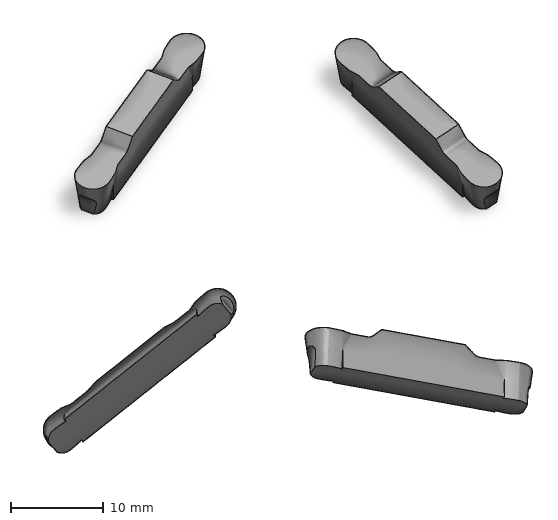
import cadquery as cq
import math

length = 25.8
height = 5.78
shank_width = 3.22
shank_length = 18.47
land_height = 4.52
ridge_length = 9.55
ridge_fillet = 1.0

head_width = 4.0
head_clearance = 7.0
flank_end_y = 9.3
flank_radius = 15.48
neck_y = 8.23
root_y = 7.48

relief_y = 12.15
relief_flat_height = 1.63
relief_top = 2.8

head_radius = head_width / 2
head_center_y = length / 2 - head_radius


def make_shank():
    body = cq.Workplane("XY").box(shank_width, shank_length, land_height, centered=(True, True, False))
    top_y = ridge_length / 2
    foot_y = top_y + height - land_height
    tangent = ridge_fillet * math.tan(math.radians(22.5))
    leg = tangent * math.sqrt(0.5)
    middle_y = foot_y + tangent - ridge_fillet * math.sin(math.radians(22.5))
    middle_z = land_height + ridge_fillet * (1 - math.cos(math.radians(22.5)))
    ridge = (
        cq.Workplane("YZ")
        .moveTo(-foot_y - tangent, land_height)
        .threePointArc((-middle_y, middle_z), (-foot_y + leg, land_height + leg))
        .lineTo(-top_y, height)
        .lineTo(top_y, height)
        .lineTo(foot_y - leg, land_height + leg)
        .threePointArc((middle_y, middle_z), (foot_y + tangent, land_height))
        .close()
        .extrude(shank_width / 2, both=True)
    )
    return body.union(ridge)


def flank_half_width(y):
    """Half width of the large-radius flank arc, tangent to the nose circle."""
    return head_radius - flank_radius + math.sqrt(flank_radius**2 - (head_center_y - y) ** 2)


def make_head():
    flank_x = flank_half_width(flank_end_y)
    flank_mid_y = (head_center_y + flank_end_y) / 2
    flank_mid_x = flank_half_width(flank_mid_y)
    neck_slope = (flank_x - shank_width / 2) / (flank_end_y - neck_y)
    root_x = flank_x - neck_slope * (flank_end_y - root_y)
    head = (
        cq.Workplane("XY", origin=(0, 0, land_height))
        .moveTo(root_x, root_y)
        .lineTo(flank_x, flank_end_y)
        .threePointArc((flank_mid_x, flank_mid_y), (head_radius, head_center_y))
        .threePointArc((0, length / 2), (-head_radius, head_center_y))
        .threePointArc((-flank_mid_x, flank_mid_y), (-flank_x, flank_end_y))
        .lineTo(-root_x, root_y)
        .close()
        .extrude(-land_height, taper=head_clearance)
    )
    return head.cut(make_nose_relief())


def make_nose_relief():
    """Vertical flat below the nose, blending outward through a concave arc."""
    nose_slope = math.tan(math.radians(head_clearance))
    runout_y = length / 2 - (land_height - relief_top) * nose_slope
    outer_y = length / 2
    return (
        cq.Workplane("YZ")
        .moveTo(relief_y, 0)
        .lineTo(relief_y, relief_flat_height)
        .tangentArcPoint((runout_y, relief_top), relative=False)
        .lineTo(outer_y, relief_top)
        .lineTo(outer_y, 0)
        .close()
        .extrude(head_radius, both=True)
    )


head = make_head()
opposite_head = head.rotate((0, 0, 0), (0, 0, 1), 180)
result = make_shank().union(head).union(opposite_head)